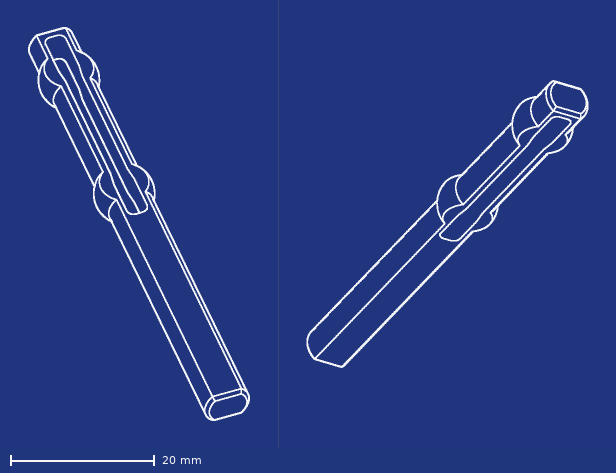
import cadquery as cq

length = 71.9
thickness = 5.0
body_diameter = 6.6
ball_diameter = 8.55
end_chamfer = 0.5

ball_positions = (7.7, 30.0)

slot_start = 1.45
slot_end = 36.1
slot_width = 3.0
waist_width = 2.5
waist_taper = 2.0
slot_corner_radius = 1.0


def make_rod():
    """Round rod along X with two flats, chamfered all around both ends."""
    rod = cq.Workplane("YZ").circle(body_diameter / 2).extrude(length)
    flats = cq.Workplane("XY").box(length, body_diameter, thickness, centered=(False, True, True))
    return rod.intersect(flats).faces("<X or >X").chamfer(end_chamfer)


def make_ball(position):
    """Ball centred on the rod axis, cut by the same two flats as the rod."""
    ball = cq.Workplane("XY").sphere(ball_diameter / 2)
    flats = cq.Workplane("XY").box(ball_diameter, ball_diameter, thickness)
    return ball.intersect(flats).translate((position, 0, 0))


def make_slot():
    """Through slot whose side walls step inward between the two ball centres."""
    half_width = slot_width / 2
    half_waist = waist_width / 2
    first_ball, second_ball = ball_positions
    wall = [
        (slot_start, half_width),
        (first_ball, half_width),
        (first_ball + waist_taper, half_waist),
        (second_ball - waist_taper, half_waist),
        (second_ball, half_width),
        (slot_end, half_width),
    ]
    opposite_wall = [(x, -y) for x, y in reversed(wall)]
    slot = cq.Workplane("XY").polyline(wall + opposite_wall).close().extrude(thickness / 2, both=True)
    corners = slot.edges("|Z").edges("<X or >X")
    return corners.fillet(slot_corner_radius)


result = make_rod()
for ball_position in ball_positions:
    result = result.union(make_ball(ball_position))
result = result.cut(make_slot())